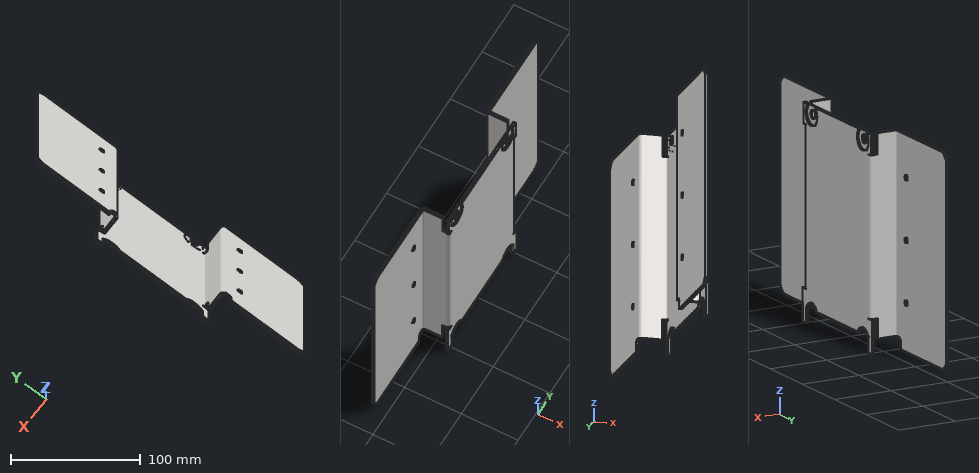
import cadquery as cq

depth = 25.0
width = 258.0
height = 176.0
thickness = 2.0
inner_bend = 1.3
outer_bend = inner_bend + thickness
web_inner_y = 50.0
web_outer_y = web_inner_y + thickness
base_front_x = depth - thickness

wing_bottom_z = 2.0
wing_chamfer = 5.0
wing_inner_edge_y = 58.5
web_bottom_z = 11.4
corner_radius = 3.9
wing_hole_diameter = 4.0
wing_hole_y = 66.8
wing_hole_top_z = 141.5
wing_hole_pitch = 50.0
wing_hole_count = 3

top_relief_x = 18.8
top_relief_z = height - 17.0
bottom_relief_x = 18.5
bottom_relief_z = 27.5
relief_fillet = 0.8

base_bottom_half_width = 54.0
base_top_half_width = 52.6
base_bottom_z = 13.0
base_hole_diameter = 7.0
counterbore_diameter = 18.0
counterbore_depth = 1.3
base_feature_y = 40.0
base_hole_z = height - 7.0
tab_inner_y = 48.5
tab_fillet = 1.3
scallop_radius = tab_inner_y - base_feature_y
scallop_z = 9.8


def block(x0, x1, y0, y1, z0, z1):
    """Box between two opposite corners."""
    return cq.Workplane("XY").box(x1 - x0, y1 - y0, z1 - z0, centered=False).translate((x0, y0, z0))


def rod(y, z, diameter, start_x=0.0):
    """Cylinder along X from start_x to the back of the bracket."""
    profile = cq.Workplane("YZ", origin=(start_x, y, z)).circle(diameter / 2)
    return profile.extrude(depth - start_x)


def bent_sheet():
    """Half of the bent section: wing, web and the start of the base, at full height."""
    section = (
        cq.Workplane("XY")
        .moveTo(0, width / 2)
        .lineTo(0, web_inner_y + outer_bend)
        .radiusArc((outer_bend, web_inner_y), -outer_bend)
        .lineTo(base_front_x - inner_bend, web_inner_y)
        .radiusArc((base_front_x, web_inner_y - inner_bend), inner_bend)
        .lineTo(base_front_x, 0)
        .lineTo(depth, 0)
        .lineTo(depth, web_outer_y - outer_bend)
        .radiusArc((depth - outer_bend, web_outer_y), -outer_bend)
        .lineTo(thickness + inner_bend, web_outer_y)
        .radiusArc((thickness, web_outer_y + inner_bend), inner_bend)
        .lineTo(thickness, width / 2)
        .close()
    )
    return section.extrude(height)


def wing_and_web():
    """Bent half with its end reliefs, wing outline and wing holes cut."""
    half = bent_sheet()
    top_relief = block(top_relief_x, depth, 0, wing_inner_edge_y, top_relief_z, height)
    half = half.cut(top_relief.edges("|Y and <X and <Z").fillet(relief_fillet))
    bottom_relief = block(bottom_relief_x, depth, 0, wing_inner_edge_y, 0, bottom_relief_z)
    half = half.cut(bottom_relief.edges("|Y and <X and >Z").fillet(relief_fillet))
    half = half.cut(block(0, depth, 0, width / 2, 0, wing_bottom_z))
    notch = block(0, depth, 0, wing_inner_edge_y, 0, web_bottom_z)
    half = half.cut(notch.edges("|X and >Y and >Z").fillet(corner_radius))
    half = half.edges("|X and >Y").chamfer(wing_chamfer)
    for i in range(wing_hole_count):
        half = half.cut(rod(wing_hole_y, wing_hole_top_z - i * wing_hole_pitch, wing_hole_diameter))
    return half


def base_piece(y0, y1, z0, z1):
    """Flat rectangle of the base panel."""
    return block(base_front_x, depth, y0, y1, z0, z1)


def half_bracket():
    """The +Y half of the bracket."""
    tab = base_piece(tab_inner_y, base_bottom_half_width, 0, base_bottom_z)
    tab = tab.edges("|X and <Z").fillet(tab_fillet)
    half = wing_and_web()
    half = half.union(base_piece(0, base_top_half_width, top_relief_z, height))
    half = half.union(base_piece(0, base_bottom_half_width, base_bottom_z, bottom_relief_z))
    half = half.union(tab)
    half = half.cut(rod(base_feature_y, base_hole_z, base_hole_diameter))
    counterbore_floor_x = depth - counterbore_depth
    half = half.cut(rod(base_feature_y, base_hole_z, counterbore_diameter, counterbore_floor_x))
    return half.cut(rod(base_feature_y, scallop_z, 2 * scallop_radius))


positive_half = half_bracket()
result = positive_half.union(positive_half.mirror("XZ")).clean()